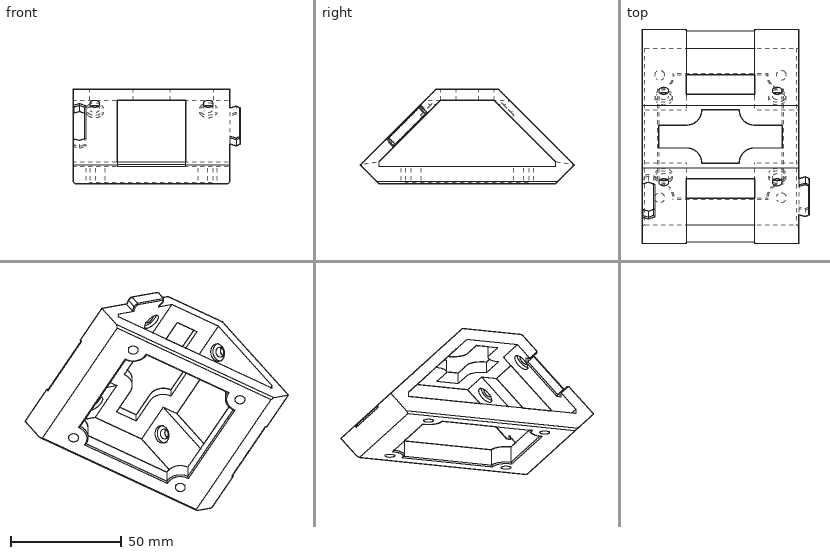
import cadquery as cq
import math

width = 71.0
length = 97.0
height = 42.9
wall = 5.0
half_width = width / 2
half_length = length / 2
top_half = 14.2
shoulder_z = height - (half_length - top_half)
foot_half = half_length - shoulder_z
foot_chamfer = 1.0
floor_rim_chamfer = 0.6

floor_z = 8.0
ceiling_z = height - wall
slant_run = wall * math.sqrt(2)
cavity_top_half = top_half + wall - slant_run
cavity_corner_z = ceiling_z - (foot_half - cavity_top_half)

window_width = 30.9
lip_y = 47.8
lip_z = 8.8

corner_radius = 7.0
floor_opening_half_x = 27.9
floor_opening_half_y = 27.9
top_slot_half_x = 28.0
top_slot_half_y = cavity_top_half - corner_radius
top_throat_half = 8.4

hole_diameter = 4.5
floor_hole_x = 27.5
floor_hole_y = 27.7
wall_hole_x = 25.7
wall_hole_depth = 3.4
recess_diameter = 8.0
wall_hole_drop = 9.3

tab_reach = 4.8
tab_length = 21.5
notch_depth = 5.1
notch_length = 22.4
tab_chamfer = 0.5
notch_chamfer = 0.6
bulge_depth = 2.9
bulge = 1.2
joint_drop = 21.05


def extrude_along_x(points, depth):
    return cq.Workplane("YZ").polyline(points).close().extrude(depth / 2, both=True)


def mirrored_outline(points):
    return points + [(-y, z) for y, z in reversed(points)]


def make_frame():
    outer = extrude_along_x(
        mirrored_outline([(foot_half, 0), (half_length, shoulder_z), (top_half, height)]), width
    )
    outer = outer.faces("<Z").edges("|Y").chamfer(foot_chamfer)
    cavity = extrude_along_x(
        mirrored_outline(
            [(foot_half, floor_z), (foot_half, cavity_corner_z), (cavity_top_half, ceiling_z)]
        ),
        width,
    )
    return outer.cut(cavity)


def make_windows():
    return extrude_along_x(
        mirrored_outline(
            [
                (foot_half, cavity_corner_z),
                (lip_y, lip_z),
                (lip_y, 0),
                (half_length, 0),
                (half_length, ceiling_z),
            ]
        ),
        window_width,
    )


def rounded_land_opening(half_x, half_y, base_z, depth):
    """Rectangular opening with a round land left standing at each corner."""
    block = cq.Workplane("XY", origin=(0, 0, base_z)).rect(2 * half_x, 2 * half_y).extrude(depth)
    lands = (
        cq.Workplane("XY", origin=(0, 0, base_z))
        .rect(2 * half_x, 2 * half_y, forConstruction=True)
        .vertices()
        .circle(corner_radius)
        .extrude(depth)
    )
    return block.cut(lands)


def make_top_opening():
    throat = rounded_land_opening(top_throat_half + corner_radius, cavity_top_half, ceiling_z, wall)
    slot = (
        cq.Workplane("XY", origin=(0, 0, ceiling_z))
        .rect(2 * top_slot_half_x, 2 * top_slot_half_y)
        .extrude(wall)
    )
    return throat.union(slot)


def cut_floor_opening(body):
    """Cut the floor opening and chamfer its rim on the underside."""
    opening = rounded_land_opening(floor_opening_half_x, floor_opening_half_y, 0, floor_z)
    within_opening = cq.selectors.BoxSelector(
        (-floor_opening_half_x - floor_rim_chamfer, -floor_opening_half_y - floor_rim_chamfer, -wall),
        (floor_opening_half_x + floor_rim_chamfer, floor_opening_half_y + floor_rim_chamfer, wall),
    )
    return body.cut(opening).faces("<Z").edges(within_opening).chamfer(floor_rim_chamfer)


def make_floor_holes():
    return (
        cq.Workplane("XY")
        .rect(2 * floor_hole_x, 2 * floor_hole_y, forConstruction=True)
        .vertices()
        .circle(hole_diameter / 2)
        .extrude(floor_z)
    )


def slope_plane(side):
    """Plane on a slanted wall: X along the part, Y up the slope, normal outward, origin on its top edge.

    side is -1 for the front wall and 1 for the back wall.
    """
    return cq.Plane(origin=(0, side * top_half, height), xDir=(-side, 0, 0), normal=(0, side, 1))


def make_wall_holes(side):
    """Screw holes through a slanted wall, each with a round recess on the inside of the wall."""
    centres = [(x, -wall_hole_drop) for x in (-wall_hole_x, wall_hole_x)]
    plane = cq.Workplane(slope_plane(side))
    holes = plane.pushPoints(centres).circle(hole_diameter / 2).extrude(-wall)
    recesses = (
        plane.workplane(offset=-wall)
        .pushPoints(centres)
        .circle(recess_diameter / 2)
        .extrude(wall - wall_hole_depth)
    )
    return holes.union(recesses)


def snap_outline(root_x, reach, end_length):
    """Points of a block reaching in +X from root_x in the front wall, bulging at both ends."""
    low = -joint_drop - end_length / 2
    high = -joint_drop + end_length / 2
    return [
        (root_x, low + bulge),
        (root_x + bulge_depth, low),
        (root_x + reach, low + bulge),
        (root_x + reach, high - bulge),
        (root_x + bulge_depth, high),
        (root_x, high - bulge),
    ]


def extrude_through_front_wall(points):
    return cq.Workplane(slope_plane(-1)).polyline(points).close().extrude(-wall)


def make_tab():
    """Tab with its rim chamfered on both broad faces, except along the root."""
    beyond_root = cq.selectors.BoxSelector(
        (half_width + tab_chamfer, -length, 0), (half_width + 2 * tab_reach, length, height)
    )
    tab = extrude_through_front_wall(snap_outline(half_width, tab_reach, tab_length))
    broad_faces = tab.faces(cq.selectors.ParallelDirSelector(cq.Vector(0, -1, 1)))
    return broad_faces.edges(beyond_root).chamfer(tab_chamfer)


def make_notch():
    """Cutter for the notch, flared at its mouth and where it breaks through both wall faces."""
    outline = snap_outline(-half_width, notch_depth, notch_length)
    mouth_low = outline[0][1]
    mouth_high = outline[-1][1]
    notch = extrude_through_front_wall(outline)
    mouth = extrude_through_front_wall(
        [
            (-half_width, mouth_low - notch_chamfer),
            (-half_width + notch_chamfer, mouth_low),
            (-half_width + notch_chamfer, mouth_high),
            (-half_width, mouth_high + notch_chamfer),
        ]
    )
    for face_offset, inward in ((0, -1), (-wall, 1)):
        flare = (
            cq.Workplane(slope_plane(-1))
            .workplane(offset=face_offset)
            .polyline(outline)
            .close()
            .offset2D(notch_chamfer, "intersection")
            .extrude(inward * notch_chamfer, taper=45)
        )
        notch = notch.union(flare)
    return notch.union(mouth)


result = make_frame()
result = result.cut(make_windows())
result = result.cut(make_top_opening())
result = cut_floor_opening(result)
result = result.cut(make_floor_holes())
for wall_side in (-1, 1):
    result = result.cut(make_wall_holes(wall_side))
result = result.cut(make_notch())
result = result.union(make_tab())